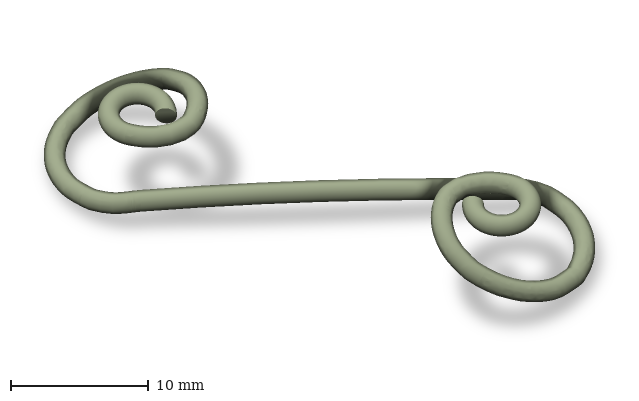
import cadquery as cq
import math

overall_length = 41.6
overall_width = 12.65
wire_radius = 0.8

bar_end_z = -0.4
loop_low_z = -1.12
coil_z = 3.33

coil_x = -13.98
coil_radius = 2.1
tip_angle = math.radians(15)

loop_right_x = -10.0
loop_right_y = 1.0
loop_top_x = -14.3
loop_top_y = overall_width / 2 - wire_radius
loop_left_x = wire_radius - overall_length / 2
loop_bottom_x = -14.65

bar_end_x = -12.1
bar_end_y = -4.75

QUARTER_STEPS = 6


def quarter_turn(start, end, starts_along_x):
    """Quarter ellipse in plan from start to end, its height varying linearly with X."""
    travel = end - start
    x_travel = cq.Vector(travel.x, 0, travel.z)
    y_travel = cq.Vector(0, travel.y, 0)
    first, last = (x_travel, y_travel) if starts_along_x else (y_travel, x_travel)
    points = []
    for step in range(QUARTER_STEPS + 1):
        angle = math.pi / 2 * step / QUARTER_STEPS
        points.append(start + first * math.sin(angle) + last * (1 - math.cos(angle)))
    return cq.Edge.makeSpline(points, tangents=[first.normalized(), last.normalized()])


upper_slope = (coil_z - loop_low_z) / (loop_right_x - loop_left_x)
lower_slope = (bar_end_z - loop_low_z) / (bar_end_x - loop_left_x)
loop_top_z = loop_low_z + upper_slope * (loop_top_x - loop_left_x)
loop_bottom_z = loop_low_z + lower_slope * (loop_bottom_x - loop_left_x)

tip = cq.Vector(
    coil_x + coil_radius * math.cos(tip_angle),
    coil_radius * math.sin(tip_angle),
    coil_z,
)
coil_left = cq.Vector(coil_x - coil_radius, 0, coil_z)
coil_bottom = cq.Vector(coil_x, -coil_radius, coil_z)
loop_right = cq.Vector(loop_right_x, loop_right_y, coil_z)
loop_top = cq.Vector(loop_top_x, loop_top_y, loop_top_z)
loop_left = cq.Vector(loop_left_x, 0, loop_low_z)
loop_bottom = cq.Vector(loop_bottom_x, -loop_top_y, loop_bottom_z)
bar_end = cq.Vector(bar_end_x, bar_end_y, bar_end_z)
bar_middle = cq.Vector(0, 0, 0)

outward_direction = cq.Vector(bar_end_x, bar_end_y, 0).normalized()
bar_arc = cq.Edge.makeTangentArc(bar_middle, outward_direction, bar_end)
bar_end_direction = bar_arc.tangentAt(1) * -1
bottom_direction = cq.Vector(1, 0, lower_slope).normalized()

path = cq.Wire.assembleEdges([
    cq.Edge.makeThreePointArc(tip, coil_left, coil_bottom),
    quarter_turn(coil_bottom, loop_right, starts_along_x=True),
    quarter_turn(loop_right, loop_top, starts_along_x=False),
    quarter_turn(loop_top, loop_left, starts_along_x=True),
    quarter_turn(loop_left, loop_bottom, starts_along_x=False),
    cq.Edge.makeSpline([loop_bottom, bar_end], tangents=[bottom_direction, bar_end_direction]),
    cq.Edge.makeThreePointArc(bar_end, bar_arc.positionAt(0.5), bar_middle),
])

tip_direction = cq.Vector(math.sin(tip_angle), -math.cos(tip_angle), 0)
tip_plane = cq.Plane(origin=tip, normal=tip_direction)
half = cq.Workplane(tip_plane).circle(wire_radius).sweep(cq.Workplane(obj=path))
result = half.union(half.rotate((0, 0, 0), (0, 0, 1), 180))